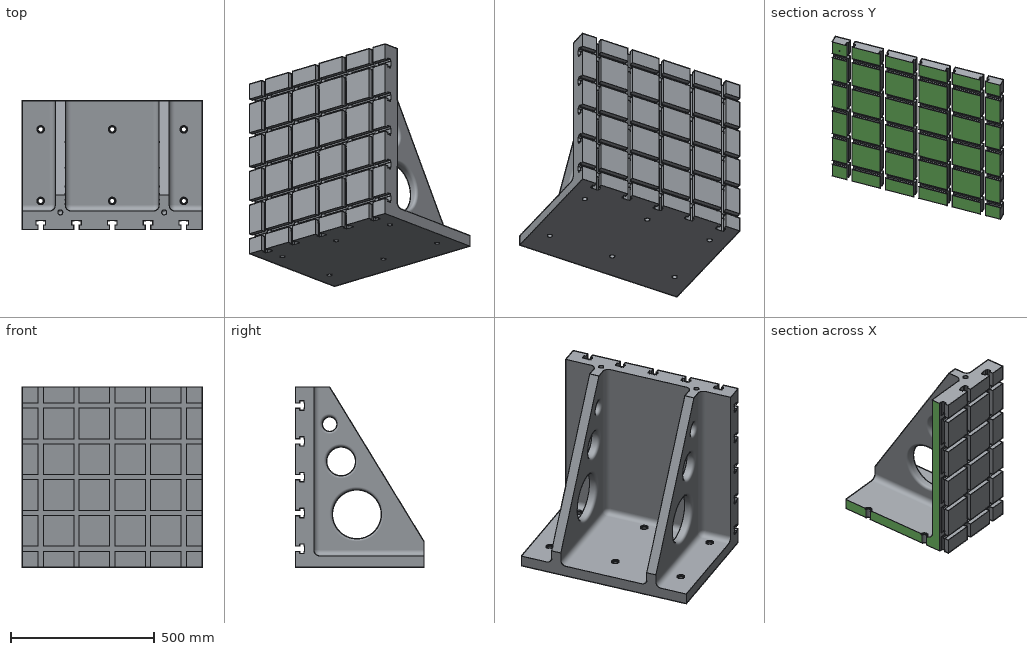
import cadquery as cq
import math

TOLERANCE = 0.001

WIDTH = 630.0
DEPTH = 450.0
HEIGHT = 630.0

PLATE_THICKNESS = 65.0
BASE_THICKNESS = 40.0
WEB_THICKNESS = 35.0
WEB_OFFSET = 181.5
WEB_TOP_DEPTH = 120.0
WEB_REAR_HEIGHT = 90.0
INNER_FILLET = 20.0

SLOT_PITCH = 125.0
SLOT_COUNT = 5
NECK_WIDTH = 18.0
NECK_DEPTH = 31.5
HEAD_WIDTH = 32.0
HEAD_START = 16.0
HEAD_END = 30.0

WEB_HOLES = [
    (120.0, 500.0, 50.0),
    (160.0, 370.0, 100.0),
    (215.0, 185.0, 170.0),
]
WEB_HOLE_ROUNDING = 10.0

BOLT_DIAMETER = 18.0
BOLT_SEAT_DIAMETER = 26.0
BOLT_SEAT_DEPTH = 5.0
BOLT_COLUMNS = (-2 * SLOT_PITCH, 0.0, 2 * SLOT_PITCH)
BOLT_ROWS = (100.0, 350.0)

LIFT_DIAMETER = 17.5
LIFT_DEPTH = 40.0
LIFT_Y = 60.0
DRILL_TIP_ANGLE = 118.0

WEB_CENTRES = (-WEB_OFFSET, WEB_OFFSET)
SLOT_OFFSETS = [(i - (SLOT_COUNT - 1) / 2) * SLOT_PITCH for i in range(SLOT_COUNT)]


def block(x_size, y_start, y_end, z_start, z_end):
    """Box centred on X = 0 and spanning the given Y and Z ranges."""
    box = cq.Workplane("XY").box(x_size, y_end - y_start, z_end - z_start, centered=(True, False, False))
    return box.translate((0, y_start, z_start))


def make_web(x_centre):
    """Upright web with a sloping rear edge."""
    return (
        cq.Workplane("YZ", origin=(x_centre, 0, 0))
        .polyline([
            (0, 0),
            (DEPTH, 0),
            (DEPTH, WEB_REAR_HEIGHT),
            (WEB_TOP_DEPTH, HEIGHT),
            (0, HEIGHT),
        ])
        .close()
        .extrude(WEB_THICKNESS / 2, both=True)
    )


def on_web_face(x):
    """True when x lies on a side face of a web."""
    return any(abs(abs(x - centre) - WEB_THICKNESS / 2) < TOLERANCE for centre in WEB_CENTRES)


def is_inner_corner(edge):
    """True for the straight edges where plate, base and webs meet each other."""
    middle = edge.Center()
    on_plate = abs(middle.y - PLATE_THICKNESS) < TOLERANCE
    on_base = abs(middle.z - BASE_THICKNESS) < TOLERANCE
    return on_plate + on_base + on_web_face(middle.x) == 2


def make_casting():
    """Plate, base and webs with filleted inner corners."""
    plate = block(WIDTH, 0, PLATE_THICKNESS, 0, HEIGHT)
    base = block(WIDTH, 0, DEPTH, 0, BASE_THICKNESS)
    body = plate.union(base)
    for centre in WEB_CENTRES:
        body = body.union(make_web(centre))
    corners = [edge for edge in body.edges().vals() if is_inner_corner(edge)]
    return body.newObject(corners).fillet(INNER_FILLET)


def make_web_hole(x_centre, y, z, diameter):
    """Cutter for a round hole through one web, flared by a rounding at both faces."""
    radius = diameter / 2
    half = WEB_THICKNESS / 2
    mouth = radius + WEB_HOLE_ROUNDING
    straight = half - WEB_HOLE_ROUNDING
    profile = (
        cq.Workplane("XY")
        .moveTo(-half, 0)
        .lineTo(-half, mouth)
        .radiusArc((-straight, radius), -WEB_HOLE_ROUNDING)
        .lineTo(straight, radius)
        .radiusArc((half, mouth), -WEB_HOLE_ROUNDING)
        .lineTo(half, 0)
        .close()
    )
    return profile.revolve(360, (0, 0, 0), (1, 0, 0)).translate((x_centre, y, z))


def make_upright_slot():
    """Cutter for one vertical T-slot at X = 0."""
    neck = block(NECK_WIDTH, 0, NECK_DEPTH, 0, HEIGHT)
    head = block(HEAD_WIDTH, HEAD_START, HEAD_END, 0, HEIGHT)
    return neck.union(head)


def make_level_slot():
    """Cutter for one horizontal T-slot centred on Z = 0."""
    neck = block(WIDTH, 0, NECK_DEPTH, -NECK_WIDTH / 2, NECK_WIDTH / 2)
    head = block(WIDTH, HEAD_START, HEAD_END, -HEAD_WIDTH / 2, HEAD_WIDTH / 2)
    return neck.union(head)


def cut_slots(body):
    """Cut the crossing grid of T-slots."""
    for offset in SLOT_OFFSETS:
        body = body.cut(make_upright_slot().translate((offset, 0, 0)))
        body = body.cut(make_level_slot().translate((0, 0, HEIGHT / 2 + offset)))
    return body


def cut_web_holes(body):
    """Cut the lightening holes in both webs."""
    for centre in WEB_CENTRES:
        for y, z, diameter in WEB_HOLES:
            body = body.cut(make_web_hole(centre, y, z, diameter))
    return body


def cut_bolt_holes(body):
    """Cut the counterbored holes down through the base."""
    positions = [(x, y) for x in BOLT_COLUMNS for y in BOLT_ROWS]
    shank = cq.Workplane("XY").pushPoints(positions).circle(BOLT_DIAMETER / 2).extrude(BASE_THICKNESS)
    seat = (
        cq.Workplane("XY", origin=(0, 0, BASE_THICKNESS - BOLT_SEAT_DEPTH))
        .pushPoints(positions)
        .circle(BOLT_SEAT_DIAMETER / 2)
        .extrude(BOLT_SEAT_DEPTH)
    )
    return body.cut(shank).cut(seat)


def cut_lift_holes(body):
    """Drill the blind holes with conical bottoms in the top face."""
    radius = LIFT_DIAMETER / 2
    tip = radius / math.tan(math.radians(DRILL_TIP_ANGLE / 2))
    drill = (
        cq.Workplane("XZ")
        .polyline([(0, 0), (radius, 0), (radius, -LIFT_DEPTH), (0, -LIFT_DEPTH - tip)])
        .close()
        .revolve(360, (0, 0, 0), (0, 1, 0))
    )
    for centre in WEB_CENTRES:
        body = body.cut(drill.translate((centre, LIFT_Y, HEIGHT)))
    return body


result = cut_lift_holes(cut_bolt_holes(cut_web_holes(cut_slots(make_casting()))))